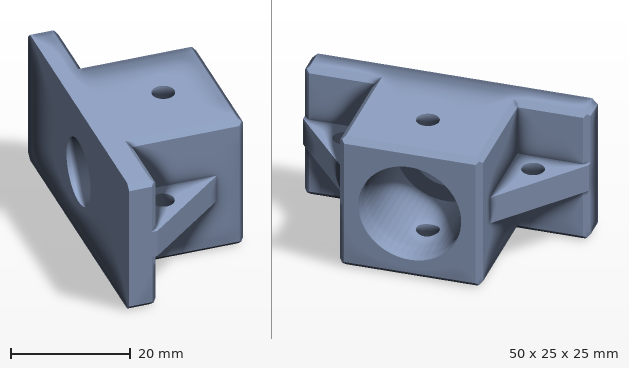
import cadquery as cq

plate_width = 50
height = 25
plate_thickness = 5
chamfer = 1

block_width = 25
block_depth = 25

gusset_thickness = 5
gusset_reach = 20
gusset_hole_x = 16.5
gusset_hole_y = 9

front_bore_diameter = 12
rear_bore_diameter = 18
screw_diameter = 4
block_hole_y = 15


def chamfered_slab(width, depth):
    """Box from y = 0 to y = depth, chamfered everywhere except around its front face."""
    slab = cq.Workplane("XY").box(width, depth, height).translate((0, depth / 2, 0))
    outline_bevels = slab.edges("|Y").chamfer(chamfer)
    level_bevels = slab.edges(">Y and |X").chamfer(chamfer)
    upright_bevels = slab.edges(">Y and |Z").chamfer(chamfer)
    return outline_bevels.intersect(level_bevels).intersect(upright_bevels)


def vertical_hole(x, y):
    """Screw hole cutter running through the full height."""
    return (
        cq.Workplane("XY", origin=(x, y, -height / 2))
        .circle(screw_diameter / 2)
        .extrude(height)
    )


plate = chamfered_slab(plate_width, plate_thickness)
block = chamfered_slab(block_width, block_depth)

gussets = (
    cq.Workplane("XY", origin=(0, 0, -gusset_thickness / 2))
    .polyline([
        (-plate_width / 2, 0),
        (plate_width / 2, 0),
        (plate_width / 2, plate_thickness),
        (block_width / 2, gusset_reach),
        (-block_width / 2, gusset_reach),
        (-plate_width / 2, plate_thickness),
    ])
    .close()
    .extrude(gusset_thickness)
)

front_bore = cq.Workplane("XZ").circle(front_bore_diameter / 2).extrude(-plate_thickness)
rear_bore = (
    cq.Workplane("XZ", origin=(0, plate_thickness, 0))
    .circle(rear_bore_diameter / 2)
    .extrude(plate_thickness - block_depth)
)

result = plate.union(block).union(gussets).cut(front_bore).cut(rear_bore)
for hole_x, hole_y in [
    (0, block_hole_y),
    (-gusset_hole_x, gusset_hole_y),
    (gusset_hole_x, gusset_hole_y),
]:
    result = result.cut(vertical_hole(hole_x, hole_y))